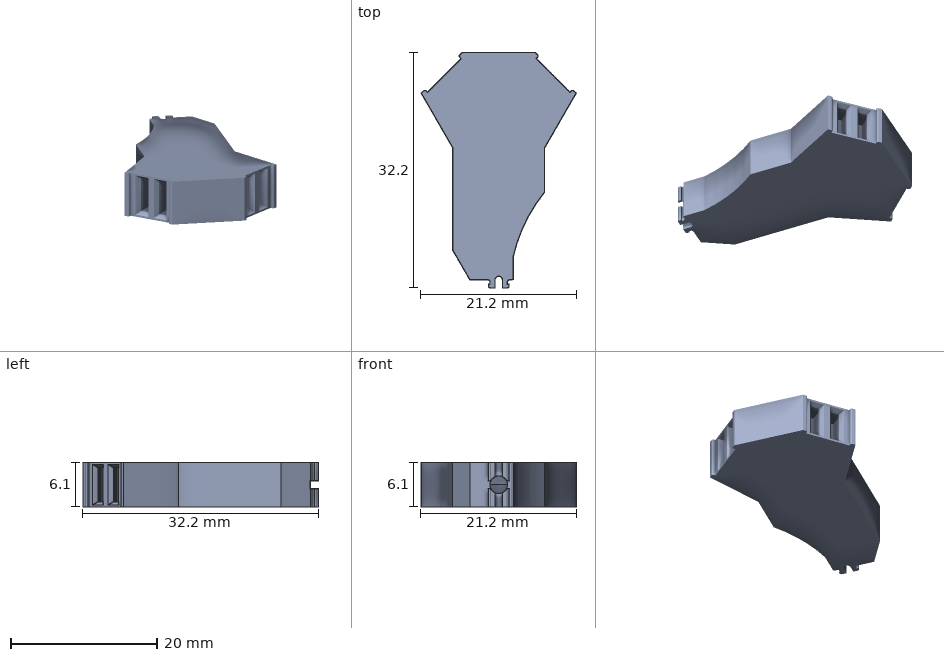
import cadquery as cq
import math

thickness = 6.1
body_height = 31.1
clip_length = 1.1

head_half_width = 10.6
head_top_half_width = 5.0
head_tip_drop = 5.57
body_half_width = 6.28
flank_angle = math.radians(60)

lip_height = 0.49
lip_outer_length = 0.47
lip_radius = 0.23

foot_left = 3.94
foot_right = 2.0
foot_right_height = 3.2
shoulder_height = 12.0
neck_curve_sagitta = 0.56
foot_chamfer_width = 0.2
foot_chamfer_height = 0.06

clip_half_width = 1.42
clip_neck_half_width = 1.19
clip_neck_fillet = 0.3
clip_barb_length = 0.54
clip_corner_radius = 0.27
clip_slot_radius = 0.5
clip_gap = 1.05

bore_diameter = 2.4
bore_depth = 3.0

entry_drops = (1.28, 3.40)
entry_opening_width = 2.1
entry_opening_length = 5.56
funnel_inset = 0.43
funnel_depth = 0.67
slot_depth = 3.0
slot_step = 0.1
slot_step_depths = (0.93, 1.36)

diagonal = math.sqrt(0.5)
middle_z = thickness / 2
tip_y = body_height - head_tip_drop
waist_y = tip_y - (head_half_width - body_half_width) * math.tan(flank_angle)
foot_slope_y = (body_half_width - foot_left) * math.tan(flank_angle)
lip_side_length = lip_height - lip_radius
face_top_x = head_top_half_width - lip_height / diagonal


def face_point(side, along, outward):
    """Point on an entry face: 'along' runs down the face from the top edge level."""
    x = face_top_x + (along + outward) * diagonal
    y = body_height + (outward - along) * diagonal
    return (side * x, y)


def lip_points(side, along_end, direction):
    """Lip end profile: start, middle and end of its rounded corner, then its root on the face."""
    arc_start = face_point(side, along_end - direction * lip_radius, lip_height)
    bulge = lip_radius * (1 - diagonal)
    arc_middle = face_point(side, along_end - direction * bulge, lip_height - bulge)
    arc_end = face_point(side, along_end, lip_side_length)
    root = face_point(side, along_end, 0)
    return arc_start, arc_middle, arc_end, root


def neck_curve_middle():
    """Mid point of the concave curve between the foot and the right shoulder."""
    run = body_half_width - foot_right
    rise = shoulder_height - foot_right_height
    chord = math.hypot(run, rise)
    x = (foot_right + body_half_width) / 2 - neck_curve_sagitta * rise / chord
    y = (foot_right_height + shoulder_height) / 2 + neck_curve_sagitta * run / chord
    return (x, y)


def draw_lip_down(outline, side, along_end, direction):
    """Continue the outline from a lip's outer surface down to the entry face."""
    arc_start, arc_middle, arc_end, root = lip_points(side, along_end, direction)
    return outline.lineTo(*arc_start).threePointArc(arc_middle, arc_end).lineTo(*root)


def draw_lip_up(outline, side, along_end, direction):
    """Continue the outline from the entry face up to a lip's outer surface."""
    arc_start, arc_middle, arc_end, root = lip_points(side, along_end, direction)
    return outline.lineTo(*root).lineTo(*arc_end).threePointArc(arc_middle, arc_start)


def make_body():
    upper_end = lip_height + lip_outer_length + lip_radius
    tip_along = lip_height + (head_half_width - head_top_half_width + head_tip_drop) * diagonal
    lower_end = tip_along - lip_outer_length - lip_radius

    outline = (
        cq.Workplane("XY")
        .moveTo(-foot_left, 0)
        .lineTo(foot_right - foot_chamfer_width, 0)
        .lineTo(foot_right, foot_chamfer_height)
        .lineTo(foot_right, foot_right_height)
        .threePointArc(neck_curve_middle(), (body_half_width, shoulder_height))
        .lineTo(body_half_width, waist_y)
        .lineTo(head_half_width, tip_y)
    )
    outline = draw_lip_down(outline, 1, lower_end, -1)
    outline = draw_lip_up(outline, 1, upper_end, 1)
    outline = outline.lineTo(head_top_half_width, body_height)
    outline = outline.lineTo(-head_top_half_width, body_height)
    outline = draw_lip_down(outline, -1, upper_end, 1)
    outline = draw_lip_up(outline, -1, lower_end, -1)
    outline = (
        outline.lineTo(-head_half_width, tip_y)
        .lineTo(-body_half_width, waist_y)
        .lineTo(-body_half_width, foot_slope_y)
        .close()
    )
    return outline.extrude(thickness)


def make_clip():
    """Barbed clip in two halves along Z, before the central slot is cut."""
    barb_top = clip_barb_length - clip_length
    fillet_middle = clip_neck_fillet * (1 - diagonal)
    corner_middle = clip_corner_radius * (1 - diagonal)
    half = (
        cq.Workplane("XY")
        .moveTo(0, 0)
        .lineTo(clip_neck_half_width + clip_neck_fillet, 0)
        .threePointArc(
            (clip_neck_half_width + fillet_middle, -fillet_middle),
            (clip_neck_half_width, -clip_neck_fillet),
        )
        .lineTo(clip_neck_half_width, barb_top)
        .lineTo(clip_half_width, barb_top)
        .lineTo(clip_half_width, clip_corner_radius - clip_length)
        .threePointArc(
            (clip_half_width - corner_middle, corner_middle - clip_length),
            (clip_half_width - clip_corner_radius, -clip_length),
        )
        .lineTo(0, -clip_length)
        .close()
        .extrude(thickness)
    )
    clip = half.union(half.mirror("YZ"))
    gap = (
        cq.Workplane("XY")
        .box(2 * body_half_width, clip_length, clip_gap)
        .translate((0, -clip_length / 2, middle_z))
    )
    return clip.cut(gap)


def make_clip_slot():
    return (
        cq.Workplane("XY")
        .moveTo(-clip_slot_radius, -clip_length)
        .lineTo(-clip_slot_radius, 0)
        .threePointArc((0, clip_slot_radius), (clip_slot_radius, 0))
        .lineTo(clip_slot_radius, -clip_length)
        .close()
        .extrude(thickness)
    )


def make_bore():
    """Round bore with a floor that is flat below its centre and slopes 45 degrees above it."""
    radius = bore_diameter / 2
    full_length = clip_length + bore_depth + radius
    cylinder = (
        cq.Workplane("XZ", origin=(0, -clip_length, middle_z)).circle(radius).extrude(-full_length)
    )
    keep = (
        cq.Workplane("YZ")
        .moveTo(-clip_length, middle_z - radius)
        .lineTo(bore_depth, middle_z - radius)
        .lineTo(bore_depth, middle_z)
        .lineTo(bore_depth + radius, middle_z + radius)
        .lineTo(-clip_length, middle_z + radius)
        .close()
        .extrude(radius, both=True)
    )
    return cylinder.intersect(keep)


def make_entry(side, drop):
    """Rectangular funnel leading into a slot that widens in two small steps."""
    start = drop / diagonal
    center = face_point(side, start + entry_opening_width / 2, 0)
    inward = cq.Vector(-side, -1, 0)
    plane = cq.Plane(origin=(*center, middle_z), xDir=(side, -1, 0), normal=inward)
    slot_width = entry_opening_width - 2 * funnel_inset
    slot_length = entry_opening_length - 2 * funnel_inset
    entry = (
        cq.Workplane(plane)
        .rect(entry_opening_width, entry_opening_length)
        .workplane(offset=funnel_depth)
        .rect(slot_width, slot_length)
        .loft(ruled=True)
    )
    for step, depth in enumerate((funnel_depth, *slot_step_depths)):
        stage = (
            cq.Workplane(plane)
            .workplane(offset=depth)
            .rect(slot_width + 2 * step * slot_step, slot_length)
            .extrude(slot_depth - depth)
        )
        entry = entry.union(stage)
    return entry


result = make_body().union(make_clip()).cut(make_clip_slot()).cut(make_bore())
for side in (-1, 1):
    for drop in entry_drops:
        result = result.cut(make_entry(side, drop))